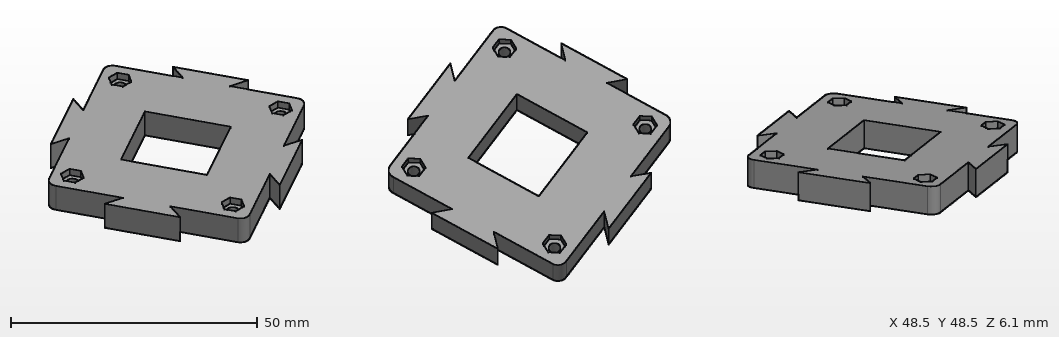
import cadquery as cq

plate_size = 42.5
thickness = 6.1
corner_radius = 2.0

tongue_count = 4
tongue_length = 3.0
tongue_tip_width = 16.0
tongue_root_width = tongue_tip_width - 2 * tongue_length

window_width = 18.2
window_top = 8.1
window_bottom = -8.9

hole_offset = 17.0
hole_diameter = 2.4
nut_sides = 6
nut_across_corners = 4.8
nut_depth = 1.6


def make_plate():
    plate = cq.Workplane("XY").rect(plate_size, plate_size).extrude(thickness)
    return plate.edges("|Z").fillet(corner_radius)


def make_tongue(angle):
    root_y = plate_size / 2
    tip_y = root_y + tongue_length
    half_root = tongue_root_width / 2
    half_tip = tongue_tip_width / 2
    inner_y = root_y - tongue_length
    outline = [
        (-half_root, inner_y),
        (half_root, inner_y),
        (half_root, root_y),
        (half_tip, tip_y),
        (-half_tip, tip_y),
        (-half_root, root_y),
    ]
    tongue = cq.Workplane("XY").polyline(outline).close().extrude(thickness)
    return tongue.rotate((0, 0, 0), (0, 0, 1), angle)


def make_window():
    height = window_top - window_bottom
    centre_y = (window_top + window_bottom) / 2
    return cq.Workplane("XY").center(0, centre_y).rect(window_width, height).extrude(thickness)


def make_screw_holes():
    spacing = 2 * hole_offset
    holes = (
        cq.Workplane("XY")
        .rarray(spacing, spacing, 2, 2)
        .circle(hole_diameter / 2)
        .extrude(thickness)
    )
    nut_pockets = (
        cq.Workplane("XY", origin=(0, 0, thickness - nut_depth))
        .rarray(spacing, spacing, 2, 2)
        .polygon(nut_sides, nut_across_corners)
        .extrude(nut_depth)
    )
    return holes.union(nut_pockets)


result = make_plate()
for side in range(tongue_count):
    result = result.union(make_tongue(side * 360 / tongue_count))
result = result.cut(make_window()).cut(make_screw_holes())